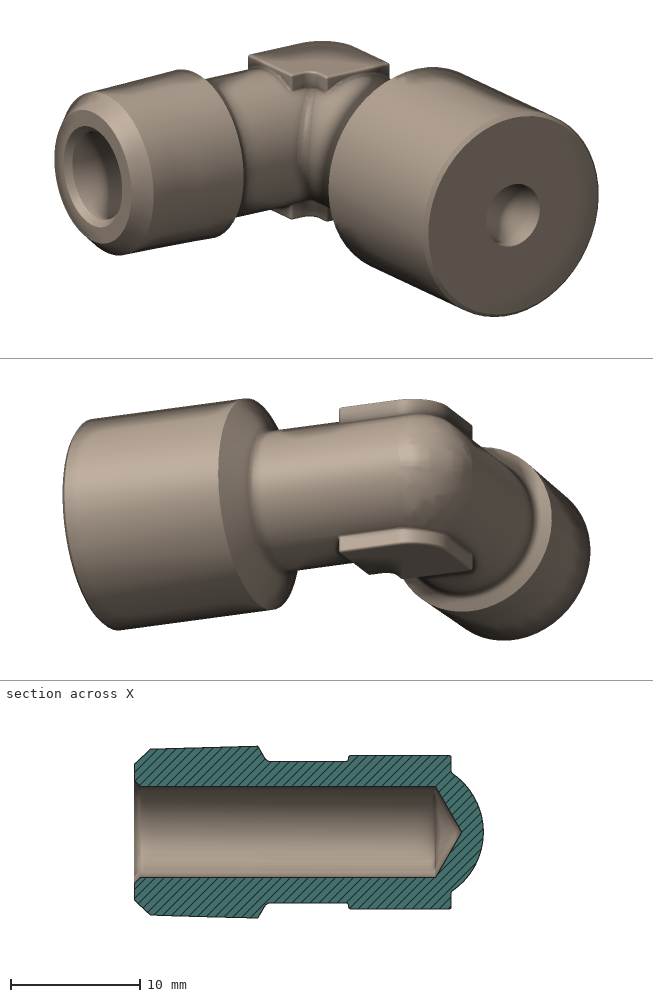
import cadquery as cq
import math


overall_x = 32.67
overall_y = 29.75

body_radius = 5.5
outer_bend_radius = 4.25
inner_bend_radius = 0.65

socket_radius = 16.5 / 2
socket_start = 12.85
socket_end_chamfer = 0.3
cross_bore_radius = 2.5

male_radius = 6.65
male_start = 11.95
male_tip_radius = 6.45
male_tip_start = 20.25
male_face_radius = 5.25
male_bore_radius = 3.5
male_bore_tip = 3.8
mouth_chamfer = 0.5
drill_half_angle = math.radians(60)

flare_slope = math.tan(math.radians(30))
neck_fillet = 0.5

pad_half_height = 5.95
pad_short = 3.0
pad_long = 4.95
notch_fillet = 0.8
pad_edge_fillet = 0.2

socket_end = overall_x - male_radius
male_end = overall_y - socket_radius
socket_neck = socket_start - (socket_radius - body_radius) * flare_slope
male_neck = male_start - (male_radius - body_radius) * flare_slope


def revolve_arm(plane, profile):
    """Turn a closed (axial position, radius) profile about the horizontal axis of the plane."""
    return cq.Workplane(plane).polyline(profile).close().revolve(360, (0, 0), (1, 0))


def fillet_ring(solid, center, radius):
    """Round the circular edge whose center is nearest to the given point."""
    return solid.edges(cq.selectors.NearestToPointSelector(center)).fillet(radius)


def make_socket_arm():
    arm = revolve_arm("XZ", [
        (-body_radius, 0),
        (-body_radius, body_radius),
        (socket_neck, body_radius),
        (socket_start, socket_radius),
        (socket_end - socket_end_chamfer, socket_radius),
        (socket_end, socket_radius - socket_end_chamfer),
        (socket_end, 0),
    ])
    return fillet_ring(arm, (socket_neck, 0, 0), neck_fillet)


def make_male_arm():
    arm = revolve_arm("YZ", [
        (body_radius, 0),
        (body_radius, body_radius),
        (-male_neck, body_radius),
        (-male_start, male_radius),
        (-male_tip_start, male_tip_radius),
        (-male_end, male_face_radius),
        (-male_end, 0),
    ])
    return fillet_ring(arm, (0, -male_neck, 0), neck_fillet)


def keep_side(arm, side):
    """Trim an arm at the 45 degree miter plane x + y = 0, keeping the given side."""
    reach = 2 * overall_x
    half_space = (
        cq.Workplane("XY", origin=(0, 0, -reach))
        .polyline([(-reach, reach), (reach, -reach), (side * reach, side * reach)])
        .close()
        .extrude(2 * reach)
    )
    return arm.intersect(half_space)


def make_pad_block():
    """L-shaped block through the corner whose two rounded ends form the pads."""
    block = (
        cq.Workplane("XY", origin=(0, 0, -pad_half_height))
        .moveTo(0, pad_short)
        .lineTo(pad_long, pad_short)
        .lineTo(pad_long, -pad_short)
        .lineTo(pad_short, -pad_short)
        .lineTo(pad_short, -pad_long)
        .lineTo(-pad_short, -pad_long)
        .lineTo(-pad_short, 0)
        .radiusArc((0, pad_short), pad_short)
        .close()
        .extrude(2 * pad_half_height)
    )
    notch_corner = cq.selectors.NearestToPointSelector((pad_short, -pad_short, 0))
    block = block.edges(notch_corner).fillet(notch_fillet)
    outer_corners = [
        (pad_long, pad_short, 0),
        (pad_long, -pad_short, 0),
        (pad_short, -pad_long, 0),
        (-pad_short, -pad_long, 0),
    ]
    for corner in outer_corners:
        block = block.edges(cq.selectors.NearestToPointSelector(corner)).fillet(pad_edge_fillet)
    return block.faces("|Z").edges().fillet(pad_edge_fillet)


def round_miter(solid, side, radius):
    """Round the miter edges between the pads: side 1 is the inside of the bend, -1 the outside."""
    silhouette = side * body_radius
    corner_box = cq.selectors.BoxSelector(
        (side * pad_short / 2, -side * pad_short / 2, -body_radius),
        (silhouette, -silhouette, body_radius),
    )
    return solid.edges(corner_box).edges("%ELLIPSE").fillet(radius)


def blend_pad_root(solid, side):
    """Blend the walls of the pad at side * Z into the pipe surfaces below them."""
    margin = pad_edge_fillet
    root_box = cq.selectors.BoxSelector(
        (-pad_short - margin, -pad_long - margin, side * pad_short),
        (pad_long + margin, pad_short + margin, side * body_radius),
    )
    return solid.edges(root_box).edges("not |Z").fillet(pad_edge_fillet)


def cut_male_bore(solid):
    """Chamfered drilled hole from the male face, with a conical bottom past the socket axis."""
    cone_start = male_bore_tip - male_bore_radius / math.tan(drill_half_angle)
    bore = revolve_arm("YZ", [
        (male_bore_tip, 0),
        (cone_start, male_bore_radius),
        (mouth_chamfer - male_end, male_bore_radius),
        (-male_end, male_bore_radius + mouth_chamfer),
        (-male_end, 0),
    ])
    return solid.cut(bore)


def cut_cross_bore(solid):
    """Plain hole from the socket face into the side of the male bore."""
    bore = cq.Workplane("YZ").circle(cross_bore_radius).extrude(socket_end)
    return solid.cut(bore)


socket_arm = keep_side(make_socket_arm(), 1)
male_arm = keep_side(make_male_arm(), -1)
result = socket_arm.union(male_arm).union(make_pad_block())
result = round_miter(result, -1, outer_bend_radius)
result = round_miter(result, 1, inner_bend_radius)
result = blend_pad_root(result, 1)
result = blend_pad_root(result, -1)
result = cut_male_bore(result)
result = cut_cross_bore(result).solids()